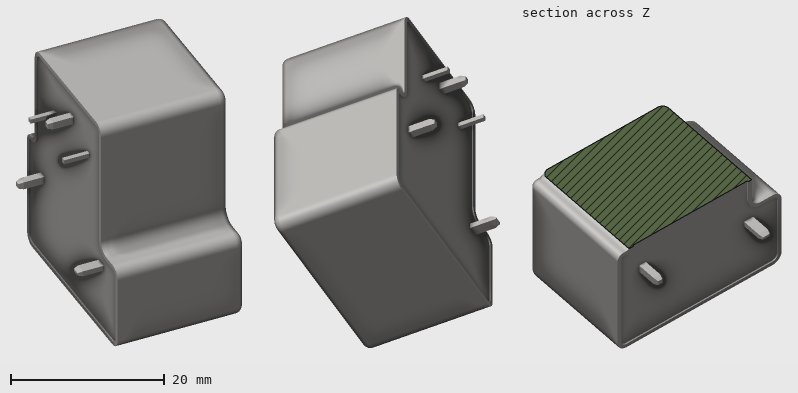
import cadquery as cq

width = 27.42
height = 32.25
overall_depth = 21.78
pin_projection = 3.5
housing_depth = overall_depth - pin_projection

neck_left = 2.3
neck_right = 22.45
left_shoulder = 17.42
right_shoulder = 12.65

corner_radius = 1.52
left_step_radius = 1.0
back_edge_radius = 1.0

rim_width = 0.6
recess_depth = 0.2

power_pin_size = (1.1, 1.1)
blade_pin_size = (1.52, 0.77)
coil_pin_size = (0.65, 0.65)
power_pin_centres = [(13.23, 27.9), (4.32, 12.7)]
blade_pin_centre = (22.05, 10.13)
coil_pin_height = 25.4
coil_pin_xs = (8.1, 18.25)
tip_length = 0.68
tip_inset = 0.2


def prism(offset, depth):
    """Stepped outline with rounded corners, moved inward by offset, spanning y = 0 to depth."""
    outline = [
        (offset, offset, corner_radius - offset),
        (width - offset, offset, corner_radius - offset),
        (width - offset, right_shoulder - offset, corner_radius - offset),
        (neck_right - offset, right_shoulder - offset, corner_radius + offset),
        (neck_right - offset, height - offset, corner_radius - offset),
        (neck_left + offset, height - offset, corner_radius - offset),
        (neck_left + offset, left_shoulder - offset, left_step_radius + offset),
        (offset, left_shoulder - offset, left_step_radius - offset),
    ]
    points = [(x, z) for x, z, _ in outline]
    body = cq.Workplane("XZ").polyline(points).close().extrude(-depth)
    for x, z, radius in outline:
        edge = cq.selectors.NearestToPointSelector((x, depth / 2, z))
        body = body.edges("|Y").edges(edge).fillet(radius)
    return body


def pin(centre, size, tapered):
    """Rectangular pin from the recess floor out to the -Y end, optionally with a tapered tip."""
    shank_end = pin_projection - (tip_length if tapered else 0)
    shank = (
        cq.Workplane("XZ", origin=(centre[0], recess_depth, centre[1]))
        .rect(*size)
        .extrude(recess_depth + shank_end)
    )
    if not tapered:
        return shank
    tip = (
        cq.Workplane("XZ", origin=(centre[0], -shank_end, centre[1]))
        .rect(*size)
        .workplane(offset=tip_length)
        .rect(size[0] - 2 * tip_inset, size[1] - 2 * tip_inset)
        .loft()
    )
    return shank.union(tip)


housing = prism(0, housing_depth).faces(">Y").edges().fillet(back_edge_radius)
result = housing.cut(prism(rim_width, recess_depth))

for pin_centre in power_pin_centres:
    result = result.union(pin(pin_centre, power_pin_size, tapered=True))
result = result.union(pin(blade_pin_centre, blade_pin_size, tapered=True))
for pin_x in coil_pin_xs:
    result = result.union(pin((pin_x, coil_pin_height), coil_pin_size, tapered=False))